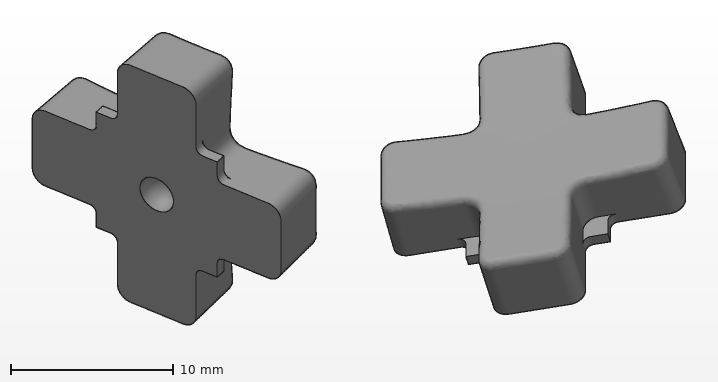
import cadquery as cq
import math

span = 18.5
arm_width = 5.85
center_thickness = 4.0
end_draft = 2.0
dish_radius = 89.91
tip_radius = 1.0
rim_radius = 0.5

plate_side = 9.0
plate_thickness = 0.74
plate_corner_radius = 0.5

hole_diameter = 2.5
hole_straight_depth = 0.25

blank_depth = 5.55


def drafted_arm():
    """Full-length bar along X, with both ends leaning inward toward +Y."""
    half_span = span / 2
    half_back = half_span - blank_depth * math.tan(math.radians(end_draft))
    outline = [(-half_span, 0), (half_span, 0), (half_back, blank_depth), (-half_back, blank_depth)]
    return cq.Workplane("XY").polyline(outline).close().extrude(arm_width / 2, both=True)


def depth_box(size_x, size_z, depth):
    """Box centred on the Y axis, reaching from Y = 0 to the given depth."""
    return cq.Workplane("XY").box(size_x, depth, size_z).translate((0, depth / 2, 0))


def cross_body():
    """Cross with rounded corners and a shallow spherical dish."""
    arm = drafted_arm()
    cross = arm.union(arm.rotate((0, 0, 0), (0, 1, 0), 90))
    cross = cross.edges("not #Y").fillet(tip_radius)
    dish = cq.Workplane("XY").sphere(dish_radius).translate((0, center_thickness + dish_radius, 0))
    return cross.cut(dish).faces(">Y").edges().fillet(rim_radius)


def corner_plate():
    """Square plate blended into the arm sides by small concave fillets."""
    plate = depth_box(plate_side, plate_side, plate_thickness)
    stub_length = plate_side + 4 * plate_corner_radius
    plate = plate.union(depth_box(stub_length, arm_width, plate_thickness))
    plate = plate.union(depth_box(arm_width, stub_length, plate_thickness))
    near = arm_width / 2
    far = plate_side / 2
    for x, z in [(near, far), (far, near)]:
        for sign_x in (-1, 1):
            for sign_z in (-1, 1):
                corner = (sign_x * x, plate_thickness / 2, sign_z * z)
                plate = plate.edges(cq.NearestToPointSelector(corner)).fillet(plate_corner_radius)
    return plate


def center_hole():
    """Short cylinder ending in a hemisphere."""
    radius = hole_diameter / 2
    cylinder = cq.Workplane("XZ").circle(radius).extrude(-hole_straight_depth)
    bottom = cq.Workplane("XY").sphere(radius).translate((0, hole_straight_depth, 0))
    return cylinder.union(bottom)


result = cross_body().union(corner_plate()).cut(center_hole())